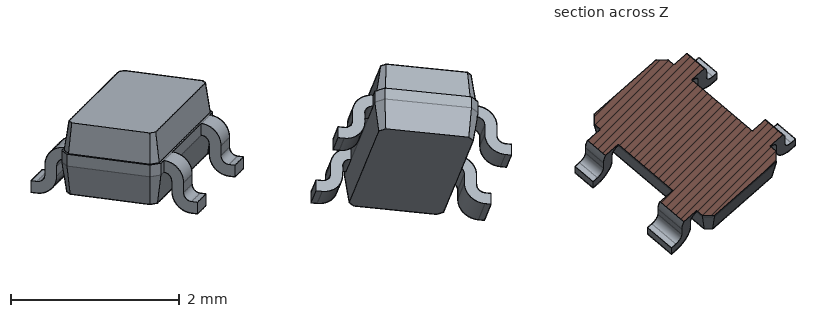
import cadquery as cq
import math

body_length_x = 1.25
body_width_y = 2.0
body_top = 1.0
standoff = 0.1
corner_chamfer = 0.1
draft_angle = 8.0
top_step = 0.025

lead_span = 2.1
lead_thickness = 0.15
bend_inner_radius = 0.1
lead_centre_y = 0.65
lead_width = 0.3
wide_lead_width = 0.4
lead_outer_y = lead_centre_y + lead_width / 2

band_bottom = (body_top + standoff - lead_thickness) / 2
band_top = band_bottom + lead_thickness


def chamfered_prism(inset, base_z, height, draft=0.0):
    """Chamfered rectangle, offset inwards from the band outline and extruded from base_z."""
    leg = corner_chamfer - inset * (2 - math.sqrt(2))
    half_x = body_length_x / 2 - inset
    half_y = body_width_y / 2 - inset
    outline = [
        (half_x, half_y - leg),
        (half_x - leg, half_y),
        (leg - half_x, half_y),
        (-half_x, half_y - leg),
        (-half_x, leg - half_y),
        (leg - half_x, -half_y),
        (half_x - leg, -half_y),
        (half_x, leg - half_y),
    ]
    plane = cq.Workplane("XY").workplane(offset=base_z)
    return plane.polyline(outline).close().extrude(height, taper=draft)


def make_body():
    band = chamfered_prism(0, band_bottom, lead_thickness)
    upper = chamfered_prism(top_step, band_top, body_top - band_top, draft_angle)
    lower = chamfered_prism(0, band_bottom, standoff - band_bottom, draft_angle)
    return band.union(upper).union(lower)


def make_lead(side, y_min, width):
    """Gull-wing lead; side is +1 for the +X edge of the body and -1 for the -X edge."""
    inner_r = bend_inner_radius
    outer_r = inner_r + lead_thickness
    diagonal = math.sqrt(0.5)
    root_x = body_length_x / 2 - 2 * top_step
    upper_x = body_length_x / 2
    upper_z = band_top - outer_r
    lower_x = upper_x + outer_r + inner_r
    lower_z = outer_r
    tip_x = lead_span / 2

    def upper_mid(radius):
        return (side * (upper_x + radius * diagonal), upper_z + radius * diagonal)

    def lower_mid(radius):
        return (side * (lower_x - radius * diagonal), lower_z - radius * diagonal)

    profile = (
        cq.Workplane("XZ", origin=(0, y_min, 0))
        .moveTo(side * root_x, band_top)
        .lineTo(side * upper_x, band_top)
        .threePointArc(upper_mid(outer_r), (side * (upper_x + outer_r), upper_z))
        .lineTo(side * (upper_x + outer_r), lower_z)
        .threePointArc(lower_mid(inner_r), (side * lower_x, lead_thickness))
        .lineTo(side * tip_x, lead_thickness)
        .lineTo(side * tip_x, 0)
        .lineTo(side * lower_x, 0)
        .threePointArc(lower_mid(outer_r), (side * (lower_x - outer_r), lower_z))
        .lineTo(side * (upper_x + inner_r), upper_z)
        .threePointArc(upper_mid(inner_r), (side * upper_x, band_bottom))
        .lineTo(side * root_x, band_bottom)
        .close()
    )
    return profile.extrude(-width)


result = make_body()
for side in (-1, 1):
    result = result.union(make_lead(side, lead_outer_y - lead_width, lead_width))

for side, width in ((-1, wide_lead_width), (1, lead_width)):
    result = result.union(make_lead(side, -lead_outer_y, width))